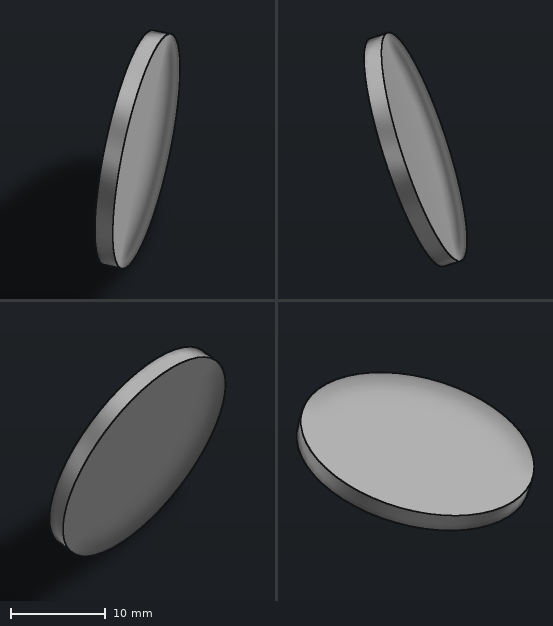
import cadquery as cq
import math

diameter = 25.4
centre_thickness = 2.45
edge_thickness = 1.985

radius = diameter / 2
sag = centre_thickness - edge_thickness


def lens():
    """Revolve the half section (X = axis, Y = radial) about the optical axis."""
    sphere_radius = (radius**2 + sag**2) / (2 * sag)
    arc_mid_radius = radius / 2
    arc_mid_x = sphere_radius - math.sqrt(sphere_radius**2 - arc_mid_radius**2)
    half_section = (
        cq.Workplane("XY")
        .moveTo(0, 0)
        .threePointArc((arc_mid_x, arc_mid_radius), (sag, radius))
        .lineTo(centre_thickness, radius)
        .lineTo(centre_thickness, 0)
        .close()
    )
    return half_section.revolve(360, (0, 0, 0), (1, 0, 0))


result = lens()